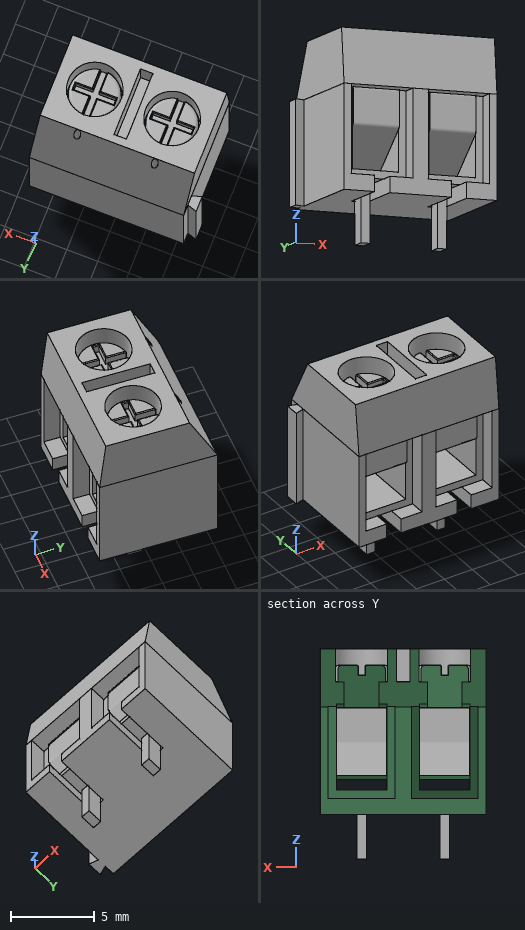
import cadquery as cq
import math


block_width = 10.0
block_depth = 7.6
total_height = 12.7
base_height = 6.5
cap_height = 3.5
cap_top_z = base_height + cap_height
pole_pitch = 5.0
pole_centers = [-pole_pitch / 2, pole_pitch / 2]
screw_y = 3.1
plate_end_y = 6.0

front_lean = 0.4
back_lean = 1.8
screw_hole_dia = 3.4
screw_recess_depth = 2.0
divider_slot_width = 0.8
divider_slot_length = 4.4
divider_slot_depth = 2.0
test_hole_dia = 0.4

chamber_width = 4.0
sill_height = 1.0
notch_width = 1.0
rib_reach = 0.61
rib_root_width = 0.61
rib_tip_width = 1.0
rib_y = 6.59

cage_front_y = 1.05
cage_wall = 0.5
pin_width = 0.6
pin_depth = 1.0
pin_length = total_height - cap_top_z
cage_inner_width = chamber_width - 2 * cage_wall

leaf_thickness = 0.2
leaf_bend_radius = 0.28
leaf_proud = 0.13
leaf_rise = 0.14
leaf_corner_drop = 2.3
leaf_tip_drop = 4.72
leaf_slope = 36.0
leaf_front_y = cage_front_y - leaf_proud
leaf_top_z = base_height + leaf_rise
leaf_underside_z = leaf_top_z - leaf_thickness

head_dia = 3.2
head_sink = 1.0
head_edge_radius = 0.23
head_flat_dia = head_dia - 2 * head_edge_radius
shank_dia = 2.5
drive_width = 0.41
drive_chamfer = 0.06
drive_chamfer_angle = 45
drive_length = head_flat_dia - 2 * drive_chamfer
drive_depth = 0.6
seat_z = cap_top_z - screw_recess_depth
head_height = screw_recess_depth - head_sink


def box(x_center, x_size, y_start, y_end, z_start, z_end):
    """Upright block centred on x_center between the given Y and Z limits."""
    return (
        cq.Workplane("XY", origin=(x_center, (y_start + y_end) / 2, z_start))
        .rect(x_size, y_end - y_start)
        .extrude(z_end - z_start)
    )


def cylinder(x, y, diameter, z_start, z_end):
    """Upright cylinder between the given Z limits."""
    return cq.Workplane("XY", origin=(x, y, z_start)).circle(diameter / 2).extrude(z_end - z_start)


def make_base():
    """Lower housing with the terminal chambers, pin notches and the side dovetail rib."""
    base = box(0, block_width, 0, block_depth, 0, base_height)
    side_x = -block_width / 2
    rib = (
        cq.Workplane("XY")
        .moveTo(side_x, rib_y - rib_root_width / 2)
        .lineTo(side_x - rib_reach, rib_y - rib_tip_width / 2)
        .lineTo(side_x - rib_reach, rib_y + rib_tip_width / 2)
        .lineTo(side_x, rib_y + rib_root_width / 2)
        .close()
        .extrude(base_height)
    )
    base = base.union(rib)
    pin_back_y = screw_y + pin_depth / 2
    for x in pole_centers:
        base = base.cut(box(x, chamber_width, 0, plate_end_y, sill_height, base_height))
        base = base.cut(box(x, notch_width, 0, pin_back_y, 0, sill_height))
    return base


def make_cap():
    """Upper housing with leaning front and back faces, screw recesses and test holes."""
    cap = (
        cq.Workplane("YZ", origin=(-block_width / 2, 0, 0))
        .moveTo(0, base_height)
        .lineTo(block_depth, base_height)
        .lineTo(block_depth - back_lean, cap_top_z)
        .lineTo(front_lean, cap_top_z)
        .close()
        .extrude(block_width)
    )
    slot_start_y = screw_y - divider_slot_length / 2
    slot_end_y = screw_y + divider_slot_length / 2
    slot_floor_z = cap_top_z - divider_slot_depth
    cap = cap.cut(box(0, divider_slot_width, slot_start_y, slot_end_y, slot_floor_z, cap_top_z))
    for x in pole_centers:
        cap = cap.cut(cylinder(x, screw_y, screw_hole_dia, seat_z, cap_top_z))
        cap = cap.cut(cylinder(x, screw_y, shank_dia, base_height, seat_z))
        cap = cap.cut(box(x, cage_inner_width, leaf_front_y, plate_end_y, base_height, leaf_top_z))
        cap = cap.cut(cylinder(x, plate_end_y, test_hole_dia, base_height, cap_top_z))
    return cap


def make_terminal(x):
    """U-shaped wire cage with the solder pin below it."""
    cage = box(x, chamber_width, cage_front_y, plate_end_y, sill_height, base_height)
    cage_floor_z = sill_height + cage_wall
    cage = cage.cut(box(x, cage_inner_width, cage_front_y, plate_end_y, cage_floor_z, base_height))
    pin_front_y = screw_y - pin_depth / 2
    pin = box(x, pin_width, pin_front_y, pin_front_y + pin_depth, -pin_length, sill_height)
    return cage.union(pin)


def make_leaf(x):
    """Bent strip: flat plate around the screw, front apron, then a tongue sloping back."""
    slope = math.radians(leaf_slope)
    corner_z = base_height - leaf_corner_drop
    tip_z = base_height - leaf_tip_drop
    tip_y = leaf_front_y + (corner_z - tip_z) / math.tan(slope)
    inner_y = leaf_front_y + leaf_thickness
    inner_corner_z = corner_z + leaf_thickness * math.tan((math.pi / 2 - slope) / 2)
    inner_tip_y = tip_y + leaf_thickness * math.sin(slope)
    inner_tip_z = tip_z + leaf_thickness * math.cos(slope)
    outer_bends = [(leaf_front_y, leaf_top_z), (leaf_front_y, corner_z)]
    inner_bends = [(inner_y, leaf_underside_z), (inner_y, inner_corner_z)]
    leaf = (
        cq.Workplane("YZ", origin=(x - cage_inner_width / 2, 0, 0))
        .moveTo(plate_end_y, leaf_top_z)
        .lineTo(*outer_bends[0])
        .lineTo(*outer_bends[1])
        .lineTo(tip_y, tip_z)
        .lineTo(inner_tip_y, inner_tip_z)
        .lineTo(*inner_bends[1])
        .lineTo(*inner_bends[0])
        .lineTo(plate_end_y, leaf_underside_z)
        .close()
        .extrude(cage_inner_width)
    )
    inner_radius = leaf_bend_radius - leaf_thickness
    for bends, radius in ((outer_bends, leaf_bend_radius), (inner_bends, inner_radius)):
        for y, z in bends:
            leaf = leaf.edges(cq.selectors.NearestToPointSelector((x, y, z))).fillet(radius)
    return leaf.cut(cylinder(x, screw_y, shank_dia, leaf_underside_z, leaf_top_z))


def make_screw(x):
    """Cross-drive screw with a rounded head; one drive slot crosses the whole head."""
    head_top_z = seat_z + head_height
    head = cylinder(x, screw_y, head_dia, seat_z, head_top_z)
    head = head.faces(">Z").edges().fillet(head_edge_radius)
    slot_floor_z = head_top_z - drive_depth
    half_head = head_dia / 2
    long_slot = box(x, drive_width, screw_y - half_head, screw_y + half_head, slot_floor_z, head_top_z)
    head = head.cut(long_slot)
    head = head.faces(">Z").edges("|Y").chamfer(drive_chamfer)
    half_drive = drive_width / 2
    short_slot = box(x, drive_length, screw_y - half_drive, screw_y + half_drive, slot_floor_z, head_top_z)
    rim_wedge = (
        cq.Workplane("XY", origin=(x, screw_y, head_top_z))
        .rect(drive_length + 2 * drive_chamfer, drive_width + 2 * drive_chamfer)
        .extrude(-drive_chamfer, taper=drive_chamfer_angle)
    )
    head = head.cut(short_slot).cut(rim_wedge)
    shank = cylinder(x, screw_y, shank_dia, leaf_underside_z, seat_z)
    return head.union(shank)


base = make_base()
cap = make_cap()
terminals = [make_terminal(x) for x in pole_centers]
leaves = [make_leaf(x) for x in pole_centers]
screws = [make_screw(x) for x in pole_centers]

result = cq.Compound.makeCompound(
    [base.val(), cap.val()] + [body.val() for body in terminals + leaves + screws]
)